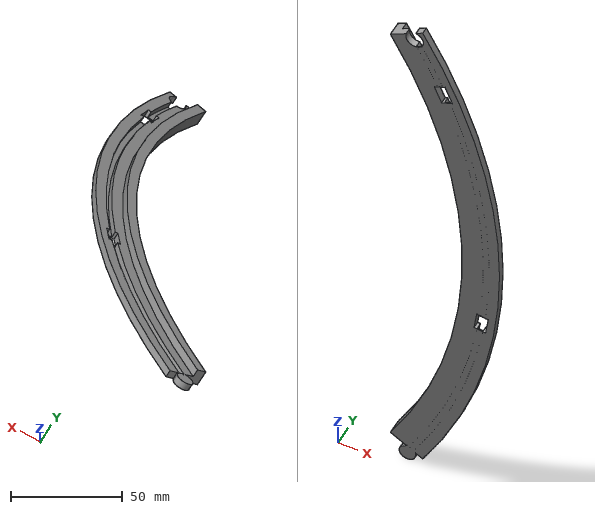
import cadquery as cq
import math

inner_radius = 270.7
overall_height = 293.5
half_angle = 30.0
plate_thickness = 3.5
total_thickness = 7.3
rail_width = 5.0

connector_radius = 282.7
connector_offset = 3.8
knob_radius = 4.0
notch_radius = 4.5
connector_flare = 30.0

groove_width = 3.0
groove_floor = 0.5

slot_length = 9.7
slot_width = 6.0
slot_angles = (22.5, -7.5)

sin_half = math.sin(math.radians(half_angle))
cos_half = math.cos(math.radians(half_angle))
knob_depth = connector_radius * sin_half + connector_offset * cos_half + knob_radius
outer_radius = (overall_height - knob_depth) / sin_half


def polar(radius, angle):
    """Point at a radius and an angle in degrees from +X towards +Z."""
    a = math.radians(angle)
    return (radius * math.cos(a), radius * math.sin(a))


def extrude_back(sketch, depth):
    """Extrude an XZ sketch from Y = 0 towards +Y."""
    return sketch.extrude(-depth)


def curved_band(r_in, r_out, depth):
    sketch = (
        cq.Workplane("XZ")
        .moveTo(*polar(r_in, -half_angle))
        .threePointArc((r_in, 0), polar(r_in, half_angle))
        .lineTo(*polar(r_out, half_angle))
        .threePointArc((r_out, 0), polar(r_out, -half_angle))
        .close()
    )
    return extrude_back(sketch, depth)


def place_on_track(body, angle):
    """Move a body from the origin to the connector line, turned to its angle."""
    x, z = polar(connector_radius, angle)
    return body.rotate((0, 0, 0), (0, 1, 0), -angle).translate((x, 0, z))


def connector(radius, depth):
    """Round head below the end face, joined to it by sides tangent to the head."""
    flare = math.radians(connector_flare)
    neck_half = radius / math.cos(flare) - connector_offset * math.tan(flare)
    tangent_x = radius * math.cos(flare)
    tangent_z = radius * math.sin(flare) - connector_offset
    sketch = (
        cq.Workplane("XZ")
        .moveTo(-neck_half, 0)
        .lineTo(-tangent_x, tangent_z)
        .threePointArc((0, -connector_offset - radius), (tangent_x, tangent_z))
        .lineTo(neck_half, 0)
        .close()
    )
    return extrude_back(sketch, depth)


def slot():
    return extrude_back(cq.Workplane("XZ").rect(slot_width, slot_length), plate_thickness)


plate = curved_band(inner_radius, outer_radius, plate_thickness)
rail = curved_band(inner_radius, inner_radius + rail_width, total_thickness)
knob = place_on_track(connector(knob_radius, plate_thickness), -half_angle)
notch = place_on_track(connector(notch_radius, plate_thickness), half_angle)

groove = curved_band(
    connector_radius - groove_width / 2,
    connector_radius + groove_width / 2,
    plate_thickness,
).translate((0, groove_floor, 0))

result = plate.cut(groove).union(rail).union(knob).cut(notch)
for slot_angle in slot_angles:
    result = result.cut(place_on_track(slot(), slot_angle))